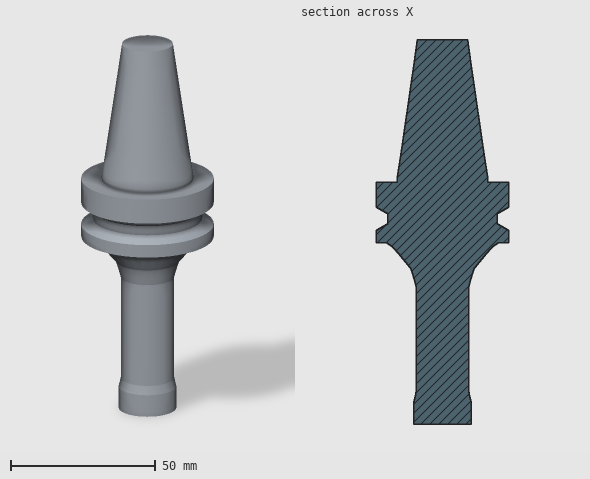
import cadquery as cq

total_height = 133.4
collar_top = 7.9
collar_cone_top = 11.1
neck_top = 48.0
flare_break = 54.0
flare_top = 61.5
flange_bottom = 62.8
groove_lower_edge = 67.4
groove_floor_bottom = 69.6
groove_floor_top = 73.0
groove_upper_edge = 75.2
flange_top = 84.0
taper_start = 85.0

collar_radius = 20.0 / 2
neck_radius = 18.5 / 2
flare_break_radius = 11.1
flare_top_radius = 17.3
flare_root_radius = 19.3
flange_radius = 46.0 / 2
groove_radius = 38.0 / 2
taper_large_radius = 31.7 / 2

taper_per_length = 7 / 24
taper_small_radius = taper_large_radius - (total_height - taper_start) * taper_per_length / 2

profile = (
    cq.Workplane("XZ")
    .moveTo(0, 0)
    .lineTo(collar_radius, 0)
    .lineTo(collar_radius, collar_top)
    .lineTo(neck_radius, collar_cone_top)
    .lineTo(neck_radius, neck_top)
    .lineTo(flare_break_radius, flare_break)
    .lineTo(flare_top_radius, flare_top)
    .lineTo(flare_root_radius, flange_bottom)
    .lineTo(flange_radius, flange_bottom)
    .lineTo(flange_radius, groove_lower_edge)
    .lineTo(groove_radius, groove_floor_bottom)
    .lineTo(groove_radius, groove_floor_top)
    .lineTo(flange_radius, groove_upper_edge)
    .lineTo(flange_radius, flange_top)
    .lineTo(taper_large_radius, flange_top)
    .lineTo(taper_large_radius, taper_start)
    .lineTo(taper_small_radius, total_height)
    .lineTo(0, total_height)
    .close()
)

result = profile.revolve(360, (0, 0, 0), (0, 1, 0))